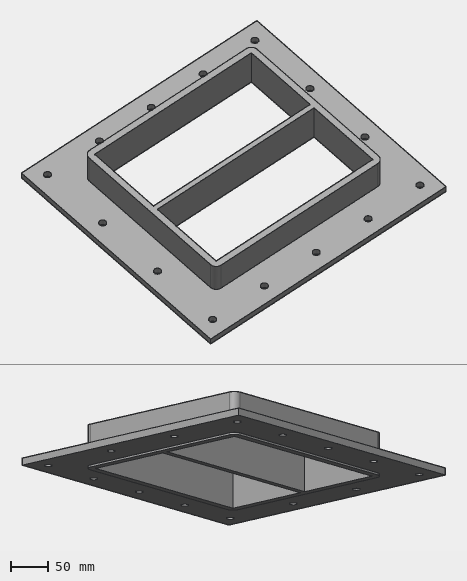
import cadquery as cq

plate_x = 391.0
plate_y = 418.0
plate_thickness = 10.0

flange_width = 60.0
collar_x = plate_x - 2 * flange_width
collar_y = plate_y - 2 * flange_width
collar_height = 60.0
collar_wall = 10.0
collar_corner_radius = 10.0
collar_below_plate = 3.0

divider_thickness = 8.0
opening_x = (collar_x - 2 * collar_wall - divider_thickness) / 2
opening_y = collar_y - 2 * collar_wall
opening_offset = (opening_x + divider_thickness) / 2

bolt_diameter = 10.5
bolt_edge_distance = 25.0
bolts_along_x = 4
bolts_along_y = 5
bolt_pitch_x = (plate_x - 2 * bolt_edge_distance) / (bolts_along_x - 1)
bolt_pitch_y = (plate_y - 2 * bolt_edge_distance) / (bolts_along_y - 1)


def make_plate():
    return cq.Workplane("XY").box(plate_x, plate_y, plate_thickness, centered=(True, True, False))


def make_collar():
    """Solid collar block with rounded vertical corners."""
    return (
        cq.Workplane("XY", origin=(0, 0, -collar_below_plate))
        .rect(collar_x, collar_y)
        .extrude(collar_height)
        .edges("|Z")
        .fillet(collar_corner_radius)
    )


def make_openings():
    """Pair of sharp-cornered openings through the full collar height."""
    return (
        cq.Workplane("XY", origin=(0, 0, -collar_below_plate))
        .pushPoints([(-opening_offset, 0), (opening_offset, 0)])
        .rect(opening_x, opening_y)
        .extrude(collar_height)
    )


def bolt_positions():
    """Hole centres on the border of a regular grid."""
    positions = []
    for column in range(bolts_along_x):
        for row in range(bolts_along_y):
            on_side = column in (0, bolts_along_x - 1)
            on_end = row in (0, bolts_along_y - 1)
            if on_side or on_end:
                x = -plate_x / 2 + bolt_edge_distance + column * bolt_pitch_x
                y = -plate_y / 2 + bolt_edge_distance + row * bolt_pitch_y
                positions.append((x, y))
    return positions


def make_bolt_holes():
    return cq.Workplane("XY").pushPoints(bolt_positions()).circle(bolt_diameter / 2).extrude(plate_thickness)


result = make_plate().union(make_collar()).cut(make_openings()).cut(make_bolt_holes())